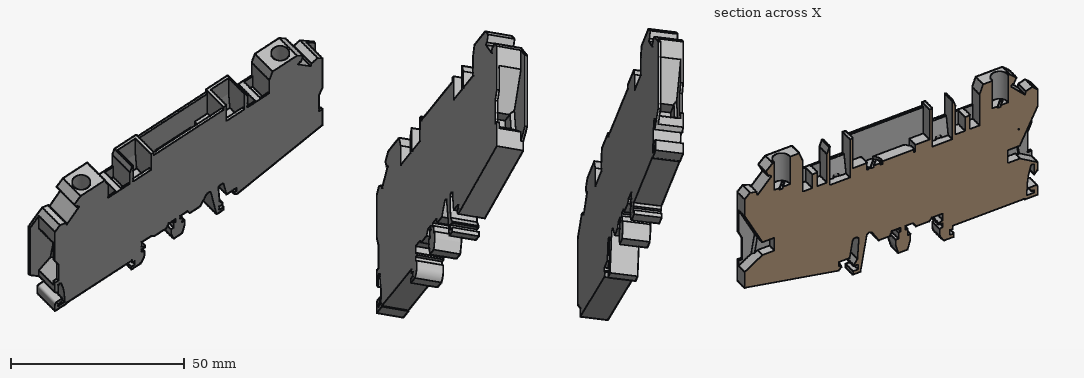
import cadquery as cq

thickness = 8.15
length = 105.2
height = 51.8

plate = 0.75
body_half = 49.35
end_half = length / 2
shoulder_z = 39.2
skirt_z = 16.2
bay_z = 42.3
rim_z = 49.9
trough_rim_z = 48.6

bay_outer = 29.7
bay_inner = 21.7
trough_half = 12.85

tower_screw_x = 4.45
tower_screw_y = 36.7
tower_screw_radius = 2.65
tower_screw_depth = 10.0
slot_width = 0.75
slot_depth = 0.6
slot_angle = -45

socket_rim = 0.45
socket_length = 3.1
socket_depth = 5.0

well_x = (0.95, 7.3)
well_floor_x = (1.5, 6.2)
well_y = (13.9, 20.5)
well_floor_z = 36.0
well_bore_radius = 2.6

trough_x = (plate, 7.35)
trough_floor_z = 39.0
recess_half = 8.1
recess_floor_z = 36.5
bar_height = 1.0
bar_end = 6.8
bar_shoulder = 6.4
bar_tip = 7.8
bar_taper_x = 3.05
bar_tip_x = (4.15, 5.9)
bar_screw_x = 4.95
bar_screw_y = 5.6
bar_screw_radius = 2.2
bar_screw_height = 0.6
bar_seat_radius = 2.75

entry_x = (plate, 7.4)
entry_z = (15.9, 36.2)
entry_depth = 6.0
pinch_z = 18.6
pinch_start = 4.25
pinch_run = 0.65
pinch_lean = 9.5
bore_x = (1.9, 6.7)
bore_z = (19.7, 24.2)
bore_depth = 4.0
notch_z = (17.8, 28.25)
notch_inner_z = 25.4
notch_depth = 1.3

toe_z = 1.4
ankle_z = 3.0
base_z = 4.2
roof_z = 9.0
peg_roof_z = 10.6
gap_z = 13.15

peg_y = -4.0
peg_neck_half = 0.9
peg_stem_half = 1.6
peg_head_half = 2.55
peg_neck_z = 9.35
peg_head_z = 7.05
peg_taper_z = 5.0
peg_tip_z = 1.65

hook_top_z = 7.8
hook_round = 0.8
hook_tip_y = -46.4
hook_tip_radius = 0.6
gap_wall_y = -48.15
gap_inner_y = -45.8

top_half = [
    (trough_half, trough_rim_z),
    (trough_half, rim_z),
    (20.9, rim_z),
    (bay_inner, 47.7),
    (bay_inner, bay_z),
    (bay_outer, bay_z),
    (bay_outer, 48.6),
    (30.9, height),
    (39.9, height),
    (42.25, 49.6),
    (41.3, 47.5),
    (41.0, 47.7),
    (40.4, 47.1),
    (45.0, bay_z),
    (45.25, 43.4),
    (47.55, 44.15),
    (end_half, shoulder_z),
]


def box(x, y, z):
    """Box between two limits on each axis."""
    size = (x[1] - x[0], y[1] - y[0], z[1] - z[0])
    return cq.Workplane("XY").box(*size, centered=False).translate((x[0], y[0], z[0]))


def both_ends(shape):
    """The shape together with its mirror image about Y = 0."""
    return shape.union(shape.mirror("XZ"))


def chain(wire, points):
    """Continue a wire with straight lines through the given points."""
    for point in points:
        wire = wire.lineTo(*point)
    return wire


def side_outline():
    """Closed outline in the YZ plane: along the top to +Y, then back along the underside."""
    mirrored_top = [(-y, z) for y, z in reversed(top_half)]
    wire = cq.Workplane("YZ").polyline(mirrored_top + top_half)

    wire = chain(wire, [(end_half, skirt_z), (body_half, 13.0), (body_half, 10.0), (17.7, 3.4),
                        (16.7, 4.4), (16.8, 5.0), (17.6, 5.2), (17.6, 6.5), (13.9, 6.5)])

    wire = wire.lineTo(12.9, 12.5).threePointArc((11.9, gap_z), (10.95, 12.4))
    wire = chain(wire, [(11.4, 5.3), (12.6, 3.5), (12.6, ankle_z), (11.2, ankle_z),
                        (11.2, toe_z), (12.9, toe_z), (12.9, 0), (10.25, 0)])
    wire = wire.lineTo(8.15, 12.5).threePointArc((7.3, gap_z), (6.4, 12.7))

    peg_half = [(peg_neck_half, peg_roof_z), (peg_neck_half, peg_neck_z),
                (peg_stem_half, peg_neck_z), (peg_stem_half, peg_head_z),
                (peg_head_half, peg_head_z), (peg_head_half, peg_taper_z), (peg_stem_half, peg_tip_z)]
    wire = chain(wire, [(4.2, roof_z), (0.35, roof_z), (-0.35, peg_roof_z)])
    wire = chain(wire, [(peg_y + offset, z) for offset, z in peg_half])
    wire = chain(wire, [(peg_y - offset, z) for offset, z in reversed(peg_half)])
    wire = chain(wire, [(-7.4, peg_roof_z), (-8.35, roof_z)])

    wire = chain(wire, [(-12.85, roof_z), (-13.75, 10.0), (-17.35, 10.0), (-17.35, 7.75),
                        (-16.0, 7.2), (-16.0, 6.5), (-17.35, 6.5), (-17.35, 5.4),
                        (-16.3, 4.85), (-16.3, ankle_z)])
    wire = wire.threePointArc((-16.8, 1.3), (-17.9, 0))
    wire = chain(wire, [(-21.15, 0), (-21.15, toe_z), (-19.85, toe_z), (-19.85, ankle_z),
                        (-20.8, ankle_z), (-20.8, base_z)])

    wire = chain(wire, [(-45.0, base_z), (-45.0, 3.9), (-body_half, 3.9),
                        (-body_half, hook_top_z - hook_round)])
    wire = wire.tangentArcPoint((hook_round, hook_round))
    wire = wire.lineTo(hook_tip_y - hook_tip_radius, hook_top_z)
    wire = wire.tangentArcPoint((hook_tip_radius, -hook_tip_radius))
    wire = chain(wire, [(-47.2, 6.15), (gap_wall_y, 6.15), (gap_wall_y, 5.35),
                        (gap_inner_y, 5.35), (gap_inner_y, 7.0)])
    wire = wire.tangentArcPoint((-47.05, 15.4), relative=False)
    wire = chain(wire, [(-47.6, 15.8), (gap_wall_y, 15.4), (gap_wall_y, 11.8), (-end_half, skirt_z)])
    return wire.close()


def end_relief():
    """Material removed beyond the body ends, leaving only the side plate."""
    return both_ends(box((plate, thickness), (body_half, end_half), (0, height)))


def screw_slot(x, y, bottom_z, radius):
    """Screwdriver slot set diagonally across a screw head."""
    slot = cq.Workplane("XY").box(2 * radius, slot_width, slot_depth, centered=(True, True, False))
    return slot.rotate((0, 0, 0), (0, 0, 1), slot_angle).translate((x, y, bottom_z))


def tower_screws():
    """Screw shafts in the two towers, each ending on a slotted screw head."""
    head_z = height - tower_screw_depth
    cut = cq.Workplane("XY")
    for y in (tower_screw_y, -tower_screw_y):
        shaft = cq.Workplane("XY").circle(tower_screw_radius).extrude(tower_screw_depth)
        cut = cut.add(shaft.translate((tower_screw_x, y, head_z)))
        cut = cut.add(screw_slot(tower_screw_x, y, head_z - slot_depth, tower_screw_radius))
    return cut.combine()


def bridge_sockets():
    """Two rectangular sockets in the floor of each bridge bay."""
    cut = cq.Workplane("XY")
    x = (socket_rim, thickness - socket_rim)
    for y in ((bay_outer - socket_length, bay_outer), (bay_inner, bay_inner + socket_length)):
        cut = cut.add(both_ends(box(x, y, (bay_z - socket_depth, bay_z))))
    return cut.combine()


def open_wells():
    """Compartments open at the top and on the +X side, narrowing below the bay level."""
    window = box((well_x[0], thickness), well_y, (bay_z, rim_z))
    section = [(well_x[0], bay_z), (well_floor_x[0], well_floor_z),
               (well_floor_x[1], well_floor_z), (well_x[1], bay_z)]
    funnel = cq.Workplane("XZ", origin=(0, well_y[1], 0)).polyline(section).close()
    funnel = funnel.extrude(well_y[1] - well_y[0])
    bore = cq.Workplane("XY").circle(well_bore_radius).extrude(bay_z - well_floor_z)
    bore = bore.translate((sum(well_floor_x) / 2, sum(well_y) / 2, well_floor_z))
    return both_ends(window.union(funnel).union(bore))


def trough():
    """Long middle trough with a deeper recess."""
    upper = box(trough_x, (-trough_half, trough_half), (trough_floor_z, rim_z))
    return upper.union(box(trough_x, (-recess_half, recess_half), (recess_floor_z, trough_floor_z)))


def trough_bar():
    """Bar on the recess floor with a tapered tip and a screw in a round seat."""
    outline = [
        (trough_x[0], bar_end),
        (trough_x[0], -bar_shoulder),
        (bar_taper_x, -bar_shoulder),
        (bar_tip_x[0], -bar_tip),
        (bar_tip_x[1], -bar_tip),
        (trough_x[1], -bar_shoulder),
        (trough_x[1], bar_end),
    ]
    bar = cq.Workplane("XY").polyline(outline).close().extrude(bar_height)
    seat = cq.Workplane("XY").circle(bar_seat_radius).extrude(bar_height)
    bar = bar.cut(seat.translate((bar_screw_x, bar_screw_y, 0)))
    screw = cq.Workplane("XY").circle(bar_screw_radius).extrude(bar_screw_height)
    screw = screw.translate((bar_screw_x, bar_screw_y, 0))
    bar = bar.union(screw.cut(screw_slot(bar_screw_x, bar_screw_y, 0, bar_screw_radius)))
    return bar.translate((0, 0, recess_floor_z))


def wire_entries():
    """Funnel and rectangular bore in each end, with a notch in the +X wall."""
    bore_y = body_half - entry_depth
    section = [(body_half, entry_z[0]), (body_half, entry_z[1]), (bore_y, bore_z[1]), (bore_y, bore_z[0])]
    funnel = cq.Workplane("YZ", origin=(entry_x[0], 0, 0)).polyline(section).close()
    funnel = funnel.extrude(entry_x[1] - entry_x[0])

    pinch_y = body_half - pinch_start
    bore_side_y = pinch_y - pinch_run
    width = [(entry_x[0], end_half), (entry_x[0], pinch_y), (bore_x[0], bore_side_y), (bore_x[0], 0),
             (bore_x[1], 0), (bore_x[1], bore_side_y), (entry_x[1], pinch_y), (entry_x[1], end_half)]
    sides = cq.Workplane("XY").polyline(width).close().extrude(height)
    sides = sides.rotate((0, pinch_y, pinch_z), (1, pinch_y, pinch_z), pinch_lean)
    funnel = funnel.intersect(sides)
    bore = box(bore_x, (bore_y - bore_depth, bore_y), bore_z)

    notch_y = body_half - notch_depth
    notch_section = [(body_half, notch_z[0]), (body_half, notch_z[1]),
                     (notch_y, notch_inner_z), (notch_y, notch_z[0])]
    notch = cq.Workplane("YZ", origin=(entry_x[1], 0, 0)).polyline(notch_section).close()
    notch = notch.extrude(thickness - entry_x[1])
    return both_ends(funnel.union(bore).union(notch))


result = side_outline().extrude(thickness)
result = result.cut(end_relief())
result = result.cut(tower_screws())
result = result.cut(bridge_sockets())
result = result.cut(open_wells())
result = result.cut(trough())
result = result.union(trough_bar())
result = result.cut(wire_entries())